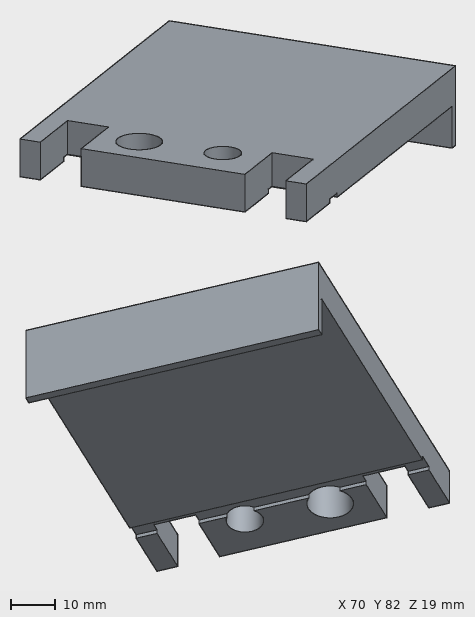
import cadquery as cq

width = 70.0
length = 82.0
plate_thickness = 9.0

total_height = 19.0
lip_thickness = 2.0

slot_width = 10.0
slot_depth = 15.0
slot_edge_margin = 5.0

groove_width = 4.0
groove_depth = 1.0

hole_offset_x = 10.0
large_hole_diameter = 10.4
large_hole_from_front = 9.35
small_hole_diameter = 8.4
small_hole_from_front = 10.3

CENTERED_IN_X = (True, False, False)


def make_plate():
    return cq.Workplane("XY").box(width, length, plate_thickness, centered=CENTERED_IN_X)


def make_lip():
    return (
        cq.Workplane("XY", origin=(0, length - lip_thickness, plate_thickness - total_height))
        .box(width, lip_thickness, total_height, centered=CENTERED_IN_X)
    )


def make_slot(side):
    center_x = side * (width / 2 - slot_edge_margin - slot_width / 2)
    return (
        cq.Workplane("XY", origin=(center_x, 0, 0))
        .box(slot_width, slot_depth, plate_thickness, centered=CENTERED_IN_X)
    )


def make_groove():
    return (
        cq.Workplane("XY", origin=(0, slot_depth - groove_width / 2, 0))
        .box(width, groove_width, groove_depth, centered=CENTERED_IN_X)
    )


def make_hole(center_x, center_y, diameter):
    return (
        cq.Workplane("XY", origin=(center_x, center_y, 0))
        .circle(diameter / 2)
        .extrude(plate_thickness)
    )


result = make_plate().union(make_lip())
for side in (-1, 1):
    result = result.cut(make_slot(side))
result = result.cut(make_groove())
result = result.cut(make_hole(-hole_offset_x, large_hole_from_front, large_hole_diameter))
result = result.cut(make_hole(hole_offset_x, small_hole_from_front, small_hole_diameter))